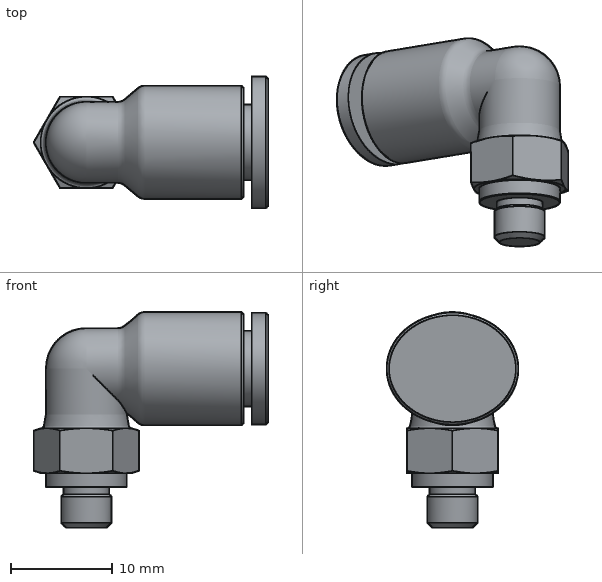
import cadquery as cq
import math


hex_flats = 9.0
hex_inradius = hex_flats / 2
hex_circumradius = hex_flats / math.sqrt(3)
hex_top = -5.88
hex_bottom = -10.3
hex_bevel_drop = 0.23

elbow_radius = 4.0
flare_top = -4.51
flare_angle = math.radians(10)
flare_fillet = 0.3

collar_radius = 4.0
collar_bottom = -11.7
collar_chamfer = 0.07
relief_radius = 2.27
relief_bottom = -12.39
thread_radius = 2.5
thread_bottom = -15.7
thread_chamfer = 0.5

body_radius = 5.6
shoulder_start = 3.13
shoulder_angle = math.radians(40)
shoulder_fillet = 1.0
body_end = 15.53
body_chamfer = 0.25

overall_length = 23.15
neck_radius = 3.75
flange_start = 16.3
flange_end = overall_length - hex_circumradius
flange_width = 13.0
flange_height = 11.05
flange_chamfer = 0.25


def make_elbow():
    """Ball-cornered elbow whose horizontal arm runs into the shoulder."""
    ball = cq.Workplane("XY").sphere(elbow_radius)
    upright = cq.Workplane("XY").circle(elbow_radius).extrude(flare_top)
    arm = cq.Workplane("YZ").circle(elbow_radius).extrude(shoulder_start)
    return ball.union(upright).union(arm)


def make_flare():
    """Cone that widens downwards and blends into the hexagon's top face."""
    fillet_top = hex_top + flare_fillet * (1 - math.sin(flare_angle))
    cone_radius = elbow_radius + (flare_top - fillet_top) * math.tan(flare_angle)
    foot_radius = cone_radius + flare_fillet * math.cos(flare_angle)
    return (
        cq.Workplane("XZ")
        .moveTo(0, flare_top)
        .lineTo(elbow_radius, flare_top)
        .lineTo(cone_radius, fillet_top)
        .tangentArcPoint((foot_radius, hex_top), relative=False)
        .lineTo(0, hex_top)
        .close()
        .revolve(360, (0, 0), (0, 1))
    )


def make_hexagon():
    """Hexagon with corners on the X axis, its corners bevelled at both ends."""
    prism = (
        cq.Workplane("XY", origin=(0, 0, hex_bottom))
        .polygon(6, 2 * hex_circumradius)
        .extrude(hex_top - hex_bottom)
    )
    bevel_envelope = (
        cq.Workplane("XZ")
        .moveTo(0, hex_top)
        .lineTo(hex_inradius, hex_top)
        .lineTo(hex_circumradius, hex_top - hex_bevel_drop)
        .lineTo(hex_circumradius, hex_bottom + hex_bevel_drop)
        .lineTo(hex_inradius, hex_bottom)
        .lineTo(0, hex_bottom)
        .close()
        .revolve(360, (0, 0), (0, 1))
    )
    return prism.intersect(bevel_envelope)


def make_threaded_end():
    """Collar, relief groove and plain thread cylinder with a chamfered tip."""
    relief_depth = thread_radius - relief_radius
    return (
        cq.Workplane("XZ")
        .moveTo(0, hex_bottom)
        .lineTo(collar_radius, hex_bottom)
        .lineTo(collar_radius, collar_bottom + collar_chamfer)
        .lineTo(collar_radius - collar_chamfer, collar_bottom)
        .lineTo(relief_radius, collar_bottom)
        .lineTo(relief_radius, relief_bottom)
        .lineTo(thread_radius, relief_bottom - relief_depth)
        .lineTo(thread_radius, thread_bottom + thread_chamfer)
        .lineTo(thread_radius - thread_chamfer, thread_bottom)
        .lineTo(0, thread_bottom)
        .close()
        .revolve(360, (0, 0), (0, 1))
    )


def make_body():
    """Socket body with a filleted conical shoulder, and the neck of the release ring."""
    fillet_length = shoulder_fillet * math.sin(shoulder_angle)
    fillet_rise = shoulder_fillet * (1 - math.cos(shoulder_angle))
    cone_rise = body_radius - elbow_radius - 2 * fillet_rise
    cone_start = shoulder_start + fillet_length
    cone_end = cone_start + cone_rise / math.tan(shoulder_angle)
    cone_end_radius = body_radius - fillet_rise
    return (
        cq.Workplane("XY")
        .lineTo(0, elbow_radius)
        .lineTo(shoulder_start, elbow_radius)
        .tangentArcPoint((cone_start, elbow_radius + fillet_rise), relative=False)
        .lineTo(cone_end, cone_end_radius)
        .tangentArcPoint((cone_end + fillet_length, body_radius), relative=False)
        .lineTo(body_end - body_chamfer, body_radius)
        .lineTo(body_end, body_radius - body_chamfer)
        .lineTo(body_end, neck_radius)
        .lineTo(flange_start, neck_radius)
        .lineTo(flange_start, 0)
        .close()
        .revolve(360, (0, 0), (1, 0))
    )


def make_flange():
    """Oval flange of the release ring, chamfered around its outer face."""
    return (
        cq.Workplane("YZ", origin=(flange_start, 0, 0))
        .ellipse(flange_width / 2, flange_height / 2)
        .extrude(flange_end - flange_start)
        .faces(">X")
        .chamfer(flange_chamfer)
    )


result = (
    make_elbow()
    .union(make_flare())
    .union(make_hexagon())
    .union(make_threaded_end())
    .union(make_body())
    .union(make_flange())
)